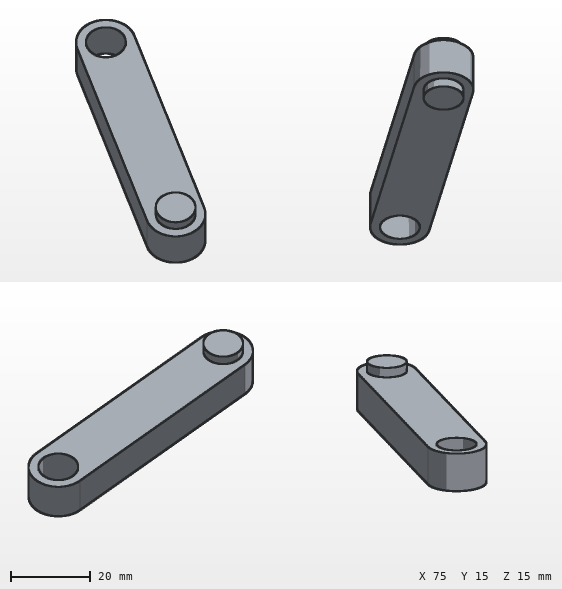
import cadquery as cq

link_length = 75.0
link_width = 15.0
link_thickness = 10.0
pin_diameter = 10.0
pin_length = 15.0

end_offset = (link_length - link_width) / 2

bar = cq.Workplane("XY").slot2D(link_length, link_width).extrude(link_thickness / 2, both=True)

bar = bar.faces(">Z").workplane(origin=(0, 0, 0)).center(-end_offset, 0).hole(pin_diameter)

pin = cq.Workplane("XY").center(end_offset, 0).circle(pin_diameter / 2).extrude(pin_length / 2, both=True)

result = bar.union(pin)